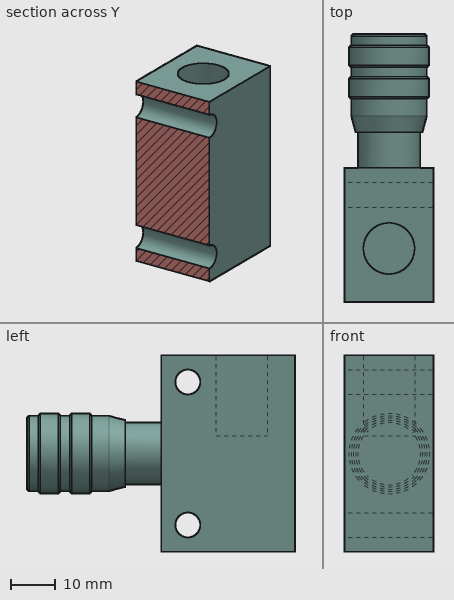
import cadquery as cq

block_width = 20.0
block_depth = 30.0
block_height = 44.0

cross_hole_diameter = 5.5
cross_hole_inset = 6.0

port_diameter = 11.45
port_from_front = 12.0
port_depth = 18.0

connector_length = 30.0
neck_radius = 14.0 / 2
neck_length = 8.0
taper_start_radius = 7.5
taper_length = 3.7
sleeve_radius = 17.0 / 2
ring_radius = 18.0 / 2
ring_length = 5.0
ring_starts = (15.5, 22.5)
ring_chamfer = ring_radius - sleeve_radius
end_chamfer = 0.5


def make_block():
    return cq.Workplane("XY").box(
        block_width, block_depth, block_height, centered=(True, False, False)
    )


def cut_cross_holes(body):
    for z in (cross_hole_inset, block_height - cross_hole_inset):
        hole = (
            cq.Workplane("YZ")
            .center(block_depth - cross_hole_inset, z)
            .circle(cross_hole_diameter / 2)
            .extrude(block_width, both=True)
        )
        body = body.cut(hole)
    return body


def cut_port(body):
    port = (
        cq.Workplane("XY", origin=(0, port_from_front, block_height - port_depth))
        .circle(port_diameter / 2)
        .extrude(port_depth)
    )
    return body.cut(port)


def make_connector():
    """Revolve the half profile (radius, station) about the connector axis."""
    profile = [
        (0, 0),
        (neck_radius, 0),
        (neck_radius, neck_length),
        (taper_start_radius, neck_length),
        (sleeve_radius, neck_length + taper_length),
    ]
    for start in ring_starts:
        end = start + ring_length
        profile += [
            (sleeve_radius, start),
            (ring_radius, start + ring_chamfer),
            (ring_radius, end - ring_chamfer),
            (sleeve_radius, end),
        ]
    profile += [
        (sleeve_radius, connector_length - end_chamfer),
        (sleeve_radius - end_chamfer, connector_length),
        (0, connector_length),
    ]
    return (
        cq.Workplane("XY")
        .polyline(profile)
        .close()
        .revolve(360, (0, 0, 0), (0, 1, 0))
        .translate((0, block_depth, block_height / 2))
    )


block = cut_port(cut_cross_holes(make_block()))
result = block.union(make_connector())